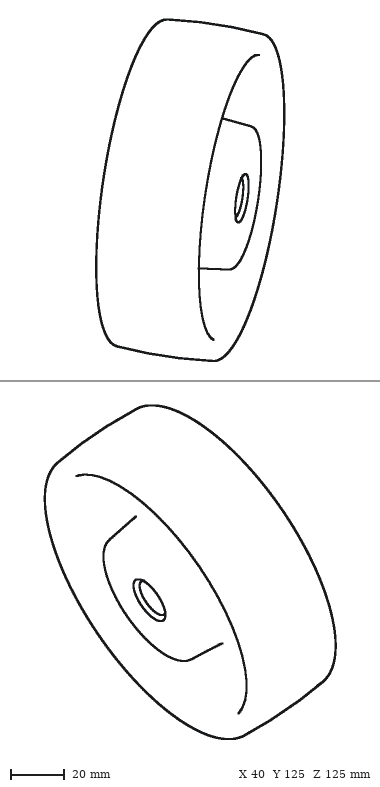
import cadquery as cq

wheel_radius = 62.5
hub_half_width = 20.0
rim_half_width = 19.0
web_half_thickness = 3.5

tread_edge_radius = 61.5

rim_wall_face_radius = 53.8
rim_wall_web_radius = 51.2
hub_wall_face_radius = 26.9
hub_wall_web_radius = 28.8

bore_radius = 7.5
bore_chamfer = 1.6

tread_edge_fillet = 1.0
rim_wall_fillet = 1.2
hub_root_fillet = 2.0
hub_edge_fillet = 1.1


def wheel_body():
    """Revolve the half section; sketch coordinates are (axial X, radius)."""
    return (
        cq.Workplane("XY")
        .moveTo(-hub_half_width, 0)
        .lineTo(-hub_half_width, hub_wall_face_radius)
        .lineTo(-web_half_thickness, hub_wall_web_radius)
        .lineTo(-web_half_thickness, rim_wall_web_radius)
        .lineTo(-rim_half_width, rim_wall_face_radius)
        .lineTo(-rim_half_width, tread_edge_radius)
        .threePointArc((0, wheel_radius), (rim_half_width, tread_edge_radius))
        .lineTo(rim_half_width, rim_wall_face_radius)
        .lineTo(web_half_thickness, rim_wall_web_radius)
        .lineTo(web_half_thickness, hub_wall_web_radius)
        .lineTo(hub_half_width, hub_wall_face_radius)
        .lineTo(hub_half_width, 0)
        .close()
        .revolve(360, (0, 0, 0), (1, 0, 0))
    )


def round_circles(body, axial, radius, fillet):
    """Fillet the circular edges of one radius on both sides of the wheel."""
    tolerance = 0.06
    edges = [
        edge for edge in body.edges("%CIRCLE").vals()
        if abs(edge.radius() - radius) < tolerance
        and abs(abs(edge.Center().x) - axial) < tolerance
    ]
    return body.newObject([body.val().fillet(fillet, edges)])


def cut_bore(body):
    bore = cq.Workplane("YZ").circle(bore_radius).extrude(hub_half_width, both=True)
    mouth_radius = bore_radius + bore_chamfer
    for side in (-1, 1):
        face_x = side * hub_half_width
        inner_x = face_x - side * bore_chamfer
        countersink = (
            cq.Workplane("XY")
            .polyline([(face_x, 0), (face_x, mouth_radius), (inner_x, bore_radius), (inner_x, 0)])
            .close()
            .revolve(360, (0, 0, 0), (1, 0, 0))
        )
        bore = bore.union(countersink)
    return body.cut(bore)


wheel = wheel_body()
wheel = round_circles(wheel, rim_half_width, tread_edge_radius, tread_edge_fillet)
wheel = round_circles(wheel, rim_half_width, rim_wall_face_radius, rim_wall_fillet)
wheel = round_circles(wheel, web_half_thickness, rim_wall_web_radius, rim_wall_fillet)
wheel = round_circles(wheel, web_half_thickness, hub_wall_web_radius, hub_root_fillet)
wheel = round_circles(wheel, hub_half_width, hub_wall_face_radius, hub_edge_fillet)
result = cut_bore(wheel)